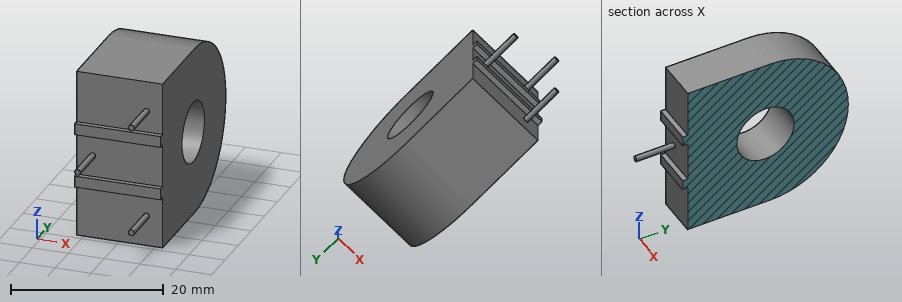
import cadquery as cq

width = 12.0
height = 23.5
total_length = 29.8

end_radius = height / 2
pin_length = 5.75
body_length = total_length - pin_length
bore_diameter = 8.5
bore_to_mounting_face = 11.63

pin_pitch = 7.5
pin_diameter = 0.8
rib_pitch = pin_pitch
rib_height = 1.55
rib_depth = 0.75

mounting_face_y = -bore_to_mounting_face
end_center_y = mounting_face_y + body_length - end_radius


def make_body():
    """Extrude the D-shaped side outline across the width and bore it."""
    outline = (
        cq.Workplane("YZ", origin=(-width / 2, 0, 0))
        .moveTo(mounting_face_y, -end_radius)
        .lineTo(end_center_y, -end_radius)
        .threePointArc((end_center_y + end_radius, 0), (end_center_y, end_radius))
        .lineTo(mounting_face_y, end_radius)
        .close()
    )
    bore = cq.Workplane("YZ", origin=(-width / 2, 0, 0)).circle(bore_diameter / 2).extrude(width)
    return outline.extrude(width).cut(bore)


def make_rib(z):
    """Standoff rib across the full width of the mounting face."""
    return cq.Workplane("XY").box(width, rib_depth, rib_height).translate(
        (0, mounting_face_y - rib_depth / 2, z)
    )


def make_pin(x, z):
    """Round pin standing out of the mounting face toward -Y."""
    return (
        cq.Workplane("XZ", origin=(x, mounting_face_y, z))
        .circle(pin_diameter / 2)
        .extrude(pin_length)
    )


result = make_body()

for rib_z in (-rib_pitch / 2, rib_pitch / 2):
    result = result.union(make_rib(rib_z))

pin_offset = pin_pitch / 2
for pin_x, pin_z in ((pin_offset, pin_pitch), (-pin_offset, 0), (pin_offset, -pin_pitch)):
    result = result.union(make_pin(pin_x, pin_z))